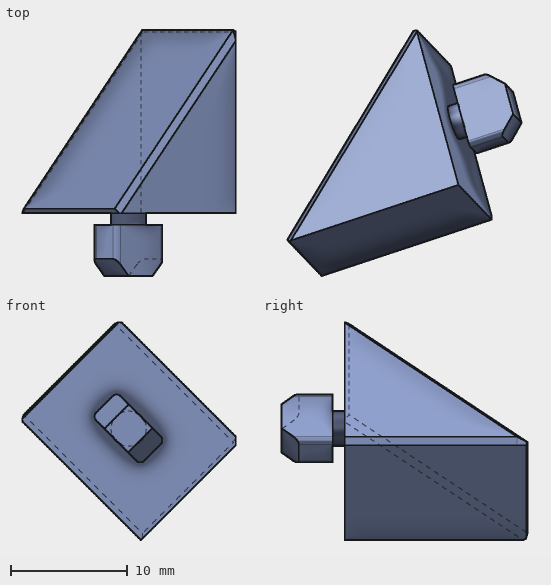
import cadquery as cq
import math

wedge_length = 15.0
wedge_depth = 16.01
wedge_width = 12.0
edge_chamfer = 0.5
tilt_angle = 45

overall_depth = 21.05
neck_diameter = 3.0
neck_length = 1.0
key_length = 5.8
key_width = 2.95
key_corner_radius = 0.46
key_end_chamfer = 1.47

slope_length = math.hypot(wedge_length, wedge_depth)
body_depth = wedge_depth - edge_chamfer * wedge_depth / slope_length
key_depth = overall_depth - body_depth - neck_length


def make_wedge():
    """Front face on y = 0 and centred on the Y axis, sharp tips at -X and +Y."""
    half_length = wedge_length / 2
    wedge = (
        cq.Workplane("XY")
        .polyline([(-half_length, 0), (half_length, 0), (half_length, wedge_depth)])
        .close()
        .extrude(wedge_width / 2, both=True)
    )
    slope_normal = cq.Vector(-wedge_depth, wedge_length, 0)
    slope_edges = wedge.faces(cq.selectors.DirectionMinMaxSelector(slope_normal, True)).edges()
    end_corner = wedge.faces(">X").edges(">Z")
    return slope_edges.add(end_corner).chamfer(edge_chamfer)


def make_key():
    """Round neck carrying a rounded rectangular head with bevelled ends."""
    neck = cq.Workplane("XZ").circle(neck_diameter / 2).extrude(neck_length)
    head = (
        cq.Workplane("XZ", origin=(0, -neck_length, 0))
        .rect(key_length, key_width)
        .extrude(key_depth)
        .edges("|Y")
        .fillet(key_corner_radius)
    )
    half_length = key_length / 2
    end_profile = (
        cq.Workplane("XY")
        .moveTo(-half_length, -neck_length)
        .hLine(key_length)
        .vLine(key_end_chamfer - key_depth)
        .line(-key_end_chamfer, -key_end_chamfer)
        .hLine(2 * key_end_chamfer - key_length)
        .line(-key_end_chamfer, key_end_chamfer)
        .close()
        .extrude(key_width, both=True)
    )
    return neck.union(head.intersect(end_profile))


part = make_wedge().union(make_key())
result = part.rotate((0, 0, 0), (0, 1, 0), tilt_angle)